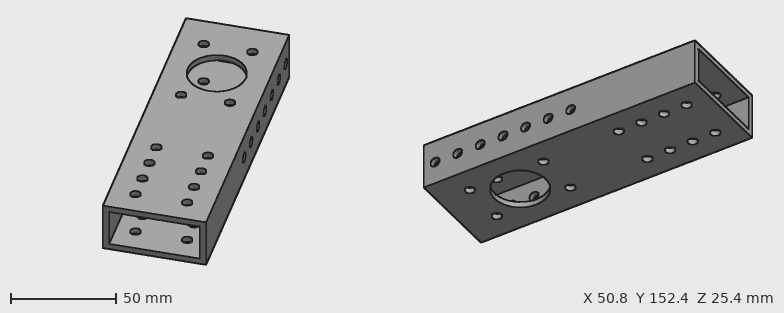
import cadquery as cq

length = 152.4
width = length / 3
height = width / 2
wall = 3.2

pitch = length / 12
hole_diameter = 5.0

front_rows = 4
front_columns = 2
front_column_spacing = 2 * pitch
front_first_row = pitch

side_holes = 7
side_first_from_rear = pitch / 2

opening_y = 0.75 * length
opening_diameter = 28.7
mount_spacing_x = 24.0
mount_spacing_y = 41.3


def vertical_cutters(points, diameter):
    """Cylinders along Z, long enough to pass through both walls."""
    plane = cq.Workplane("XY").workplane(offset=-height)
    return plane.pushPoints(points).circle(diameter / 2).extrude(2 * height)


def side_cutters(y_positions):
    """Cylinders along X at mid height, passing through both side walls."""
    plane = cq.Workplane("YZ").workplane(offset=-width)
    points = [(y, 0) for y in y_positions]
    return plane.pushPoints(points).circle(hole_diameter / 2).extrude(2 * width)


def make_tube():
    outer = cq.Workplane("XZ").rect(width, height)
    return outer.rect(width - 2 * wall, height - 2 * wall).extrude(-length)


front_points = [
    ((column - (front_columns - 1) / 2) * front_column_spacing, front_first_row + row * pitch)
    for column in range(front_columns)
    for row in range(front_rows)
]
mount_points = [
    (side * mount_spacing_x / 2, opening_y + end * mount_spacing_y / 2)
    for side in (-1, 1)
    for end in (-1, 1)
]
side_positions = [length - side_first_from_rear - i * pitch for i in range(side_holes)]

result = (
    make_tube()
    .cut(vertical_cutters(front_points + mount_points, hole_diameter))
    .cut(vertical_cutters([(0, opening_y)], opening_diameter))
    .cut(side_cutters(side_positions))
)